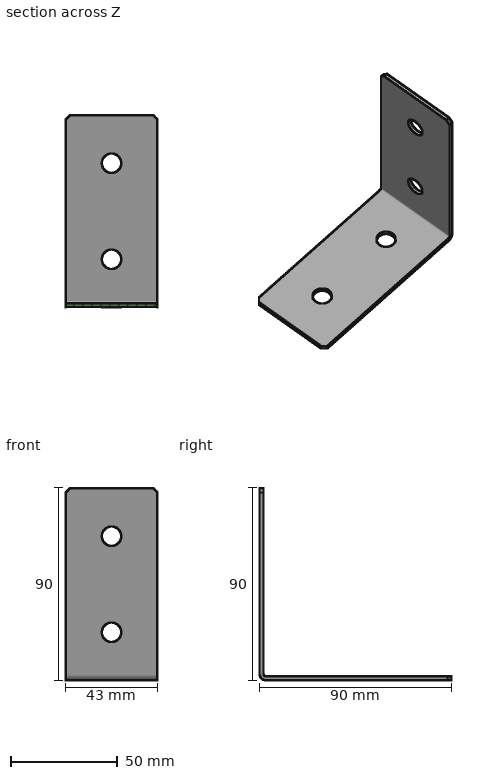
import cadquery as cq

leg_length = 90.0
width = 43.0
thickness = 2.0
inner_bend_radius = 1.0
corner_chamfer = 2.0
hole_diameter = 9.0
hole_distances = (leg_length / 4, 3 * leg_length / 4)

outer_bend_radius = inner_bend_radius + thickness


def bent_sheet():
    """Constant-thickness L: one leg along +Y, one along +Z, centred on X."""
    profile = (
        cq.Workplane("YZ")
        .polyline(
            [
                (0, 0),
                (leg_length, 0),
                (leg_length, thickness),
                (thickness, thickness),
                (thickness, leg_length),
                (0, leg_length),
            ]
        )
        .close()
    )
    sheet = profile.extrude(width / 2, both=True)
    inner_corner = cq.selectors.NearestToPointSelector((0, thickness, thickness))
    outer_corner = cq.selectors.NearestToPointSelector((0, 0, 0))
    sheet = sheet.edges(inner_corner).fillet(inner_bend_radius)
    return sheet.edges(outer_corner).fillet(outer_bend_radius)


def chamfer_leg_ends(sheet):
    """Cut the two corners at the free end of each leg."""
    sheet = sheet.faces(">Y").edges("|Z").chamfer(corner_chamfer)
    return sheet.faces(">Z").edges("|Y").chamfer(corner_chamfer)


def leg_holes():
    """Cylinders that pass through each leg at both hole distances."""
    centres = [(0, distance) for distance in hole_distances]
    horizontal_leg = cq.Workplane("XY").pushPoints(centres).circle(hole_diameter / 2).extrude(thickness)
    vertical_leg = cq.Workplane("XZ").pushPoints(centres).circle(hole_diameter / 2).extrude(-thickness)
    return horizontal_leg.add(vertical_leg).combine()


result = chamfer_leg_ends(bent_sheet()).cut(leg_holes())